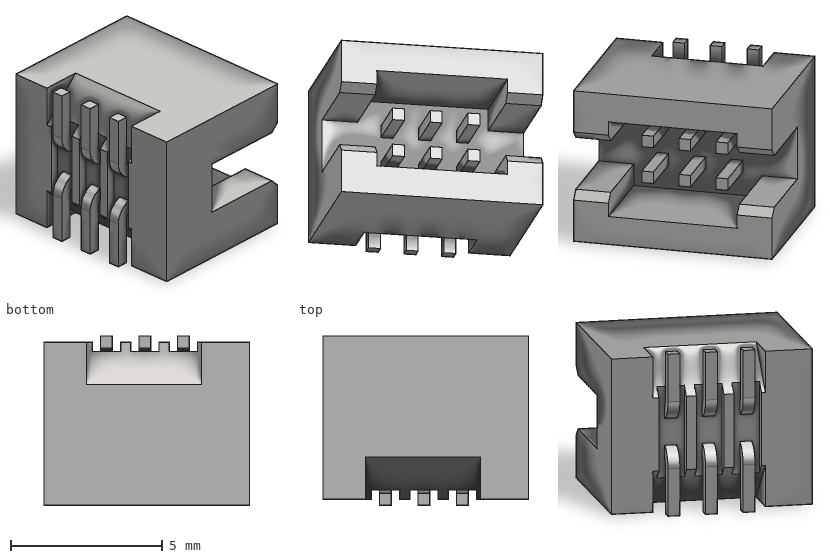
import cadquery as cq
import math

housing_width = 6.8
housing_depth = 5.4
housing_height = 5.28

mating_depth = 3.19
notch_height = 1.815
notch_chamfer = 0.285
end_wall = 1.2
cavity_wall = 0.98

bevel_size = 1.395
bevel_width = 3.81
bevel_offset = -0.095
channel_width = 0.93
channel_depth = 0.305

columns = 3
column_pitch = 1.27
row_pitch = 1.26
pin_offset = -0.06
pin_size = 0.4
pin_bend_radius = 0.71
pin_protrusion = 0.205
pin_recess = 1.285
pin_span = 5.5

mating_floor = housing_depth - mating_depth


def column_positions():
    """X positions of the pin columns."""
    return [pin_offset + column_pitch * (i - (columns - 1) / 2) for i in range(columns)]


def centred_box(width, y_start, y_end, height):
    """Box centred on X and Z, running from y_start to y_end."""
    depth = y_end - y_start
    return cq.Workplane("XY").box(width, depth, height).translate((0, y_start + depth / 2, 0))


def extrude_across(profile, width, x_centre):
    """Extrude a YZ profile along X, centred on x_centre."""
    return profile.extrude(width / 2, both=True).translate((x_centre, 0, 0))


def mirrored_pair(upper):
    """An upper solid together with its mirror image below Z = 0."""
    return upper.union(upper.mirror("XY"))


def end_notch():
    """Notch through the full width, flared by chamfers at its mouth."""
    half = notch_height / 2
    flared_half = half + notch_chamfer
    profile = cq.Workplane("YZ").polyline([
        (mating_floor, -half),
        (housing_depth - notch_chamfer, -half),
        (housing_depth, -flared_half),
        (housing_depth, flared_half),
        (housing_depth - notch_chamfer, half),
        (mating_floor, half),
    ]).close()
    return extrude_across(profile, housing_width, 0)


def cavity():
    """Mating cavity between the end walls."""
    width = housing_width - 2 * end_wall
    height = housing_height - 2 * cavity_wall
    return centred_box(width, mating_floor, housing_depth, height)


def tail_bevels():
    """Bevels that clear the pin tails at the top and bottom edges."""
    top = housing_height / 2
    profile = cq.Workplane("YZ").polyline([
        (0, top - bevel_size),
        (bevel_size, top),
        (0, top),
    ]).close()
    return mirrored_pair(extrude_across(profile, bevel_width, bevel_offset))


def channel(x):
    """Upright channel in the tail-side face at one pin column."""
    return centred_box(channel_width, 0, channel_depth, housing_height).translate((x, 0, 0))


def pin_pair(x):
    """Upper and lower pins of one column, each bent outwards into a flat tail."""
    tail_face = -pin_protrusion
    tail_tip = pin_span / 2
    pin_inner = (row_pitch - pin_size) / 2
    pin_end = housing_depth - pin_recess
    bend_y = tail_face + pin_bend_radius
    bend_z = pin_inner + pin_bend_radius
    inner_radius = pin_bend_radius - pin_size
    diagonal = math.sqrt(0.5)
    profile = (
        cq.Workplane("YZ")
        .moveTo(pin_end, pin_inner)
        .lineTo(bend_y, pin_inner)
        .threePointArc(
            (bend_y - pin_bend_radius * diagonal, bend_z - pin_bend_radius * diagonal),
            (tail_face, bend_z),
        )
        .lineTo(tail_face, tail_tip)
        .lineTo(tail_face + pin_size, tail_tip)
        .lineTo(tail_face + pin_size, bend_z)
        .threePointArc(
            (bend_y - inner_radius * diagonal, bend_z - inner_radius * diagonal),
            (bend_y, pin_inner + pin_size),
        )
        .lineTo(pin_end, pin_inner + pin_size)
        .close()
    )
    return mirrored_pair(extrude_across(profile, pin_size, x))


result = centred_box(housing_width, 0, housing_depth, housing_height)
result = result.cut(end_notch()).cut(cavity()).cut(tail_bevels())
for column_x in column_positions():
    result = result.cut(channel(column_x)).union(pin_pair(column_x))